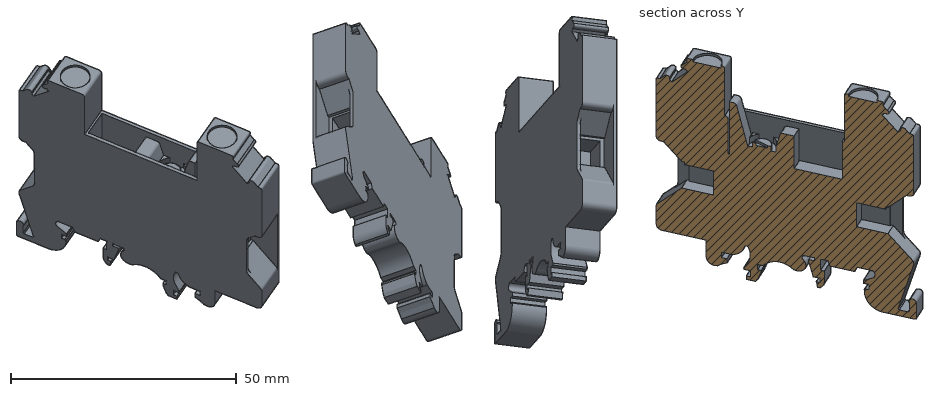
import cadquery as cq
import math


width = 8.0
height = 57.6
half_length = 30.55
wall = 0.8
body_bottom = 8.95
corner_radius = 3.0 / 2
cut_margin = 0.6

left_tower_inner = 14.0
right_tower_inner = 14.2
tower_top_inner = 14.8
tower_top_outer = 22.9
tower_top_radius = 0.45
shoulder_radius = 0.6
shoulder_top = 50.45
bridge_top = 44.2
tower_recess_x = 18.45
tower_recess_y = 3.8
tower_recess_diameter = 6.6
tower_recess_depth = 0.6

seat_length = 3.7
seat_inner = 23.1
seat_top = 53.9
seat_bottom = seat_top - seat_length
seat_outer = seat_inner + seat_length
seat_lip = 0.5
seat_web = 0.4

entry_top = 33.3
entry_bottom = 15.75
entry_depth = 6.1
entry_ledge = 0.6
entry_window_depth = 3.95
entry_window_radius = 4.1 / 2
entry_flat = 1.8
entry_edge_radius = 1.1
entry_sill_radius = 0.9
ramp_angle = math.radians(45)
passage_height = 6.4
passage_depth = 7.4
passage_front = 1.1
passage_back = 6.3

foot_left = -31.2
foot_edge_radius = 0.5
hook_radius = 0.9
slope_top = 14.95
slot_floor = 1.7
slot_left = -29.45
slot_right = -26.85
slot_chamfer = 0.25
hook_top = 5.5
claw_level = 5.45
web_thickness = 0.75
rail_seat = 10.7
rail_pad = 9.4
lump_radius = 4.1 / 2
lump_x = -2.95
lump_z = 8.15
heel_right = 18.7

trench_left = -13.5
trench_right = 13.45
trench_floor = 33.95
insert_gap = 0.4
insert_front = wall + insert_gap
insert_back = width - wall - insert_gap
block_left = -2.2
block_right = 2.15
block_top = 42.85
block_slope = 0.85
block_shoulder_radius = 0.85
plate_right = 8.7
plate_top = 39.0
lever_right = 13.15
lever_top = 48.3
lever_flat = 0.75
lever_foot_top = 37.05

screw_x = 5.5
screw_y = 4.0
screw_recess_diameter = 6.6
screw_recess_floor = 37.35
screw_head_diameter = 4.6
screw_rim_diameter = 4.3
screw_head_height = 1.25
screw_slot_width = 0.8
screw_slot_depth = 0.6
screw_slot_angle = -18.0


def section(y):
    """Sketch plane in X and Z at depth y."""
    return cq.Workplane("XZ", origin=(0, y, 0))


def extrude_back(sketch, depth):
    """Extrude an XZ sketch toward +Y."""
    return sketch.extrude(-depth)


def mirrored(half):
    """Join a +X feature with its mirror image on the -X side."""
    return half.union(half.mirror("YZ"))


def box(x0, x1, y0, y1, z0, z1):
    """Box between two opposite corners."""
    corner = cq.Workplane("XY", origin=(x0, y0, z0))
    return corner.box(x1 - x0, y1 - y0, z1 - z0, centered=False)


def housing_half(tower_inner):
    """Body above the rail foot on the +X side, with its tower and marker seat."""
    top_radius = tower_top_inner - tower_inner
    outline = (
        section(0)
        .moveTo(0, slope_top)
        .lineTo(0, bridge_top)
        .lineTo(tower_inner, bridge_top)
        .lineTo(tower_inner, height - top_radius)
        .radiusArc((tower_top_inner, height), top_radius)
        .lineTo(tower_top_outer, height)
        .radiusArc((tower_top_outer + tower_top_radius, height - tower_top_radius), tower_top_radius)
        .lineTo(23.3, 56.5)
        .lineTo(24.3, 55.45)
        .threePointArc((24.7, 54.9), (24.2, seat_top + seat_lip))
        .lineTo(seat_inner + seat_lip, seat_top + seat_lip)
        .lineTo(seat_inner, seat_top)
        .lineTo(seat_outer, seat_bottom)
        .lineTo(seat_outer + seat_lip, seat_bottom + seat_lip)
        .lineTo(seat_outer + seat_lip, 51.3)
        .threePointArc((27.9, 51.75), (28.5, 51.5))
        .lineTo(29.6, shoulder_top)
        .lineTo(half_length - shoulder_radius, shoulder_top)
        .radiusArc((half_length, shoulder_top - shoulder_radius), shoulder_radius)
        .lineTo(half_length, slope_top)
        .close()
    )
    return extrude_back(outline, width)


def upper_housing():
    """Both halves; the left tower is slightly wider than the right one."""
    return housing_half(right_tower_inner).union(housing_half(left_tower_inner).mirror("YZ"))


def marker_webs():
    """Thin webs that close the seat corners at the back face."""
    jaw_bottom = seat_top + seat_lip
    upper = (
        section(width - seat_web)
        .moveTo(seat_inner, seat_top)
        .lineTo(23.6, 53.4)
        .lineTo(23.8, 54.0)
        .lineTo(24.2, jaw_bottom)
        .lineTo(seat_inner + seat_lip, jaw_bottom)
        .close()
    )
    jaw_side = seat_outer + seat_lip
    lower = (
        section(width - seat_web)
        .moveTo(seat_outer, seat_bottom)
        .lineTo(seat_outer, 50.7)
        .lineTo(jaw_side, 51.3)
        .lineTo(jaw_side, seat_bottom + seat_lip)
        .close()
    )
    webs = extrude_back(upper, seat_web).union(extrude_back(lower, seat_web))
    return mirrored(webs)


def rail_foot():
    """Lower part that clips on the mounting rail."""
    outline = (
        section(0)
        .moveTo(-half_length, slope_top)
        .lineTo(slot_right, slot_floor + slot_chamfer)
        .lineTo(slot_right - slot_chamfer, slot_floor)
        .lineTo(slot_left + slot_chamfer, slot_floor)
        .lineTo(slot_left, slot_floor + slot_chamfer)
        .lineTo(slot_left, 4.3)
        .lineTo(foot_left + 2 * hook_radius, hook_top - hook_radius)
        .radiusArc((foot_left, hook_top - hook_radius), -hook_radius)
        .lineTo(foot_left, foot_edge_radius)
        .radiusArc((foot_left + foot_edge_radius, 0), -foot_edge_radius)
        .lineTo(-22.85, 0)
        .threePointArc((-19.9, 1.6), (-18.8, 5.1))
        .lineTo(-19.0, claw_level)
        .lineTo(-19.8, claw_level)
        .lineTo(-19.8, 6.7)
        .lineTo(-18.6, 6.7)
        .lineTo(-18.6, 7.6)
        .lineTo(-20.9, 8.9)
        .threePointArc((-21.3, 9.95), (-20.7, rail_seat))
        .lineTo(-17.1, rail_seat)
        .lineTo(-16.5, rail_pad)
        .lineTo(-10.6, rail_pad)
        .lineTo(-10.1, rail_seat)
        .lineTo(-8.5, rail_seat)
        .lineTo(-8.5, 7.85)
        .lineTo(-9.4, 7.85)
        .lineTo(-9.4, 5.1)
        .threePointArc((-9.15, 3.8), (-8.3, 2.85))
        .lineTo(-7.65, 2.85)
        .lineTo(-7.4, 4.4)
        .lineTo(-8.3, 4.4)
        .lineTo(-8.3, claw_level)
        .lineTo(-6.65, claw_level)
        .lineTo(-5.55, 9.4)
        .threePointArc((-5.6, 9.8), (-6.05, 10.0))
        .lineTo(-7.0, 10.0)
        .lineTo(-7.0, rail_seat)
        .lineTo(-4.5, rail_seat)
        .threePointArc((-4.15, 10.3), (-4.2, 9.8))
        .lineTo(-4.75, 9.15)
        .threePointArc((lump_x - lump_radius, lump_z), (lump_x, lump_z - lump_radius))
        .threePointArc((-2.4, 6.1), (-1.9, 6.3))
        .threePointArc((1.5, 7.4), (5.1, claw_level))
        .lineTo(6.4, claw_level)
        .lineTo(6.4, 4.15)
        .lineTo(5.6, 4.15)
        .lineTo(5.6, 3.6)
        .lineTo(6.4, 1.4)
        .lineTo(7.0, 0.7)
        .lineTo(9.15, 0.7)
        .lineTo(9.15, 1.7)
        .lineTo(8.3, 1.7)
        .lineTo(8.3, 3.3)
        .lineTo(9.7, 3.3)
        .lineTo(9.8, 3.7)
        .lineTo(8.8, claw_level)
        .threePointArc((8.3, 7.55), (8.65, 9.4))
        .threePointArc((9.15, 9.8), (9.6, 9.45))
        .threePointArc((10.6, 7.65), (12.4, 6.6))
        .lineTo(15.0, 6.6)
        .lineTo(15.0, 5.25)
        .lineTo(13.7, 5.25)
        .lineTo(13.7, 4.0)
        .lineTo(14.95, 3.4)
        .lineTo(16.0, 2.65)
        .threePointArc((17.9, 2.95), (heel_right, 4.45))
        .lineTo(heel_right, body_bottom)
        .lineTo(half_length - corner_radius, body_bottom)
        .radiusArc((half_length, body_bottom + corner_radius), -corner_radius)
        .lineTo(half_length, slope_top)
        .close()
    )
    return extrude_back(outline, width)


def slot_web():
    """Thin web that closes the release slot at the back face."""
    below_slot = slot_floor - cut_margin
    outline = (
        section(width - web_thickness)
        .moveTo(-28.4, 7.95)
        .lineTo(-28.6, 7.05)
        .lineTo(-29.65, 6.5)
        .threePointArc((-30.0, 6.1), (-30.2, hook_top))
        .lineTo(-30.2, below_slot)
        .lineTo(slot_right, below_slot)
        .close()
    )
    return extrude_back(outline, web_thickness)


def entry_recess(depth, y0, y1):
    """Cutter for a +X end recess with 45 degree ramps and rounded outer edges."""
    outside = half_length + cut_margin
    floor = half_length - depth
    top_center = entry_top + entry_edge_radius
    tangent = entry_sill_radius * math.tan(ramp_angle / 2)
    ramp_step = tangent * math.cos(ramp_angle)
    outline = (
        section(y0)
        .moveTo(outside, top_center)
        .lineTo(half_length, top_center)
        .radiusArc((half_length - entry_edge_radius, entry_top), entry_edge_radius)
        .lineTo(half_length - entry_flat, entry_top)
        .lineTo(floor, entry_top + entry_flat - depth)
        .lineTo(floor, entry_bottom + depth)
        .lineTo(half_length - ramp_step, entry_bottom + ramp_step)
        .radiusArc((half_length, entry_bottom - tangent), entry_sill_radius)
        .lineTo(outside, entry_bottom - tangent)
        .close()
    )
    return extrude_back(outline, y1 - y0)


def wire_entries():
    """Cutter for both wire entries, open to the front and to the ends."""
    back = width - wall
    window = entry_recess(entry_window_depth, -cut_margin, back)
    window = window.edges("|Y").edges("<X").fillet(entry_window_radius)
    chamber = entry_recess(entry_depth, wall, back)
    floor = half_length - entry_depth
    passage_bottom = entry_bottom + entry_depth
    ledge = box(floor - entry_ledge, floor, wall, back, passage_bottom, entry_top + entry_flat - entry_depth)
    passage = box(
        floor - passage_depth,
        floor,
        passage_front,
        passage_back,
        passage_bottom,
        passage_bottom + passage_height,
    )
    return mirrored(window.union(chamber).union(ledge).union(passage))


def trench():
    """Cutter for the open space between the towers, rounded at its right rim."""
    rim_radius = right_tower_inner - trench_right
    outline = (
        section(wall)
        .moveTo(trench_left, trench_floor)
        .lineTo(trench_left, bridge_top)
        .lineTo(right_tower_inner, bridge_top)
        .radiusArc((trench_right, bridge_top - rim_radius), -rim_radius)
        .lineTo(trench_right, trench_floor)
        .close()
    )
    return extrude_back(outline, width - 2 * wall)


def insert(outline):
    """Extrude a trench insert over the clear width of the trench."""
    return extrude_back(outline, insert_back - insert_front)


def screw():
    """Slotted screw head standing in its recess."""
    rim = (screw_head_diameter - screw_rim_diameter) / 2
    top = screw_recess_floor + screw_head_height
    head = (
        cq.Workplane("XY", origin=(screw_x, screw_y, screw_recess_floor))
        .circle(screw_head_diameter / 2)
        .extrude(screw_head_height)
        .faces(">Z")
        .chamfer(rim)
    )
    slot = (
        cq.Workplane("XY", origin=(screw_x, screw_y, top))
        .transformed(rotate=(0, 0, screw_slot_angle))
        .rect(screw_head_diameter + cut_margin, screw_slot_width)
        .extrude(-screw_slot_depth)
    )
    return head.cut(slot)


def contact():
    """Contact block that steps down to the screw plate."""
    shoulder_end = block_right - block_slope
    block = insert(
        section(insert_front)
        .moveTo(block_left, trench_floor)
        .lineTo(block_left, block_top)
        .lineTo(shoulder_end - block_shoulder_radius, block_top)
        .radiusArc((shoulder_end, block_top - block_shoulder_radius), block_shoulder_radius)
        .lineTo(block_right, plate_top)
        .lineTo(plate_right, plate_top)
        .lineTo(plate_right, trench_floor)
        .close()
    )
    recess = (
        cq.Workplane("XY", origin=(screw_x, screw_y, screw_recess_floor))
        .circle(screw_recess_diameter / 2)
        .extrude(plate_top - screw_recess_floor)
    )
    recess = recess.intersect(box(block_right, plate_right, 0, width, trench_floor, height))
    return block.cut(recess).union(screw())


def lever():
    """Leaning release lever beside the right tower."""
    outline = (
        section(insert_front)
        .moveTo(plate_right, trench_floor)
        .lineTo(plate_right, lever_foot_top)
        .lineTo(11.35, 47.55)
        .threePointArc((11.7, 48.05), (lever_right - lever_flat, lever_top))
        .lineTo(lever_right, lever_top)
        .lineTo(lever_right, trench_floor)
        .close()
    )
    return insert(outline)


def tower_recesses():
    """Cutter for the shallow round recesses on the tower tops."""
    return (
        cq.Workplane("XY", origin=(0, 0, height))
        .pushPoints([(-tower_recess_x, tower_recess_y), (tower_recess_x, tower_recess_y)])
        .circle(tower_recess_diameter / 2)
        .extrude(-tower_recess_depth)
    )


result = (
    upper_housing()
    .union(rail_foot())
    .union(marker_webs())
    .union(slot_web())
    .cut(wire_entries())
    .cut(tower_recesses())
    .cut(trench())
    .union(contact())
    .union(lever())
)